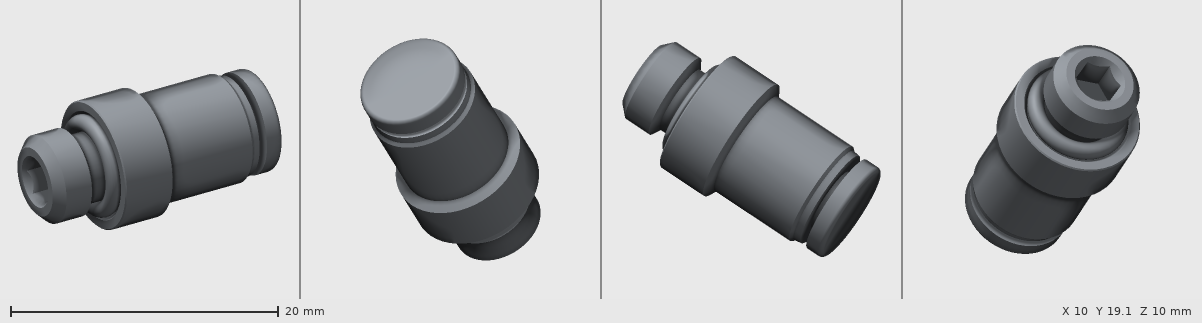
import cadquery as cq
import math

TOTAL_LENGTH = 19.1

STUD_RADIUS = 3.44
STUD_CHAMFER = 0.76
STUD_END = 2.95
NECK_RADIUS = 2.7
NECK_START = 3.4

COLLAR_RADIUS = 5.0
COLLAR_START = 4.99
COLLAR_END = 9.0
COLLAR_CHAMFER = 0.1

BARREL_RADIUS = 4.24
BARREL_START = 9.45
BARREL_END = 16.31
SHOULDER_RADIUS = 4.01
SHOULDER_START = 16.56
REAR_FACE_RADIUS = 3.92
REAR_FACE = 17.11

SOCKET_ACROSS_FLATS = 3.05
SOCKET_DEPTH = 2.86
SOCKET_MOUTH_RADIUS = 2.0
SOCKET_CONE_DEPTH = 0.57

RING_FRONT = 4.25
RING_SECTION_RADIUS = 0.65
RING_CENTRE_RADIUS = NECK_RADIUS + RING_SECTION_RADIUS
RING_CENTRE = RING_FRONT + RING_SECTION_RADIUS
RECESS_FLOOR = RING_CENTRE + RING_SECTION_RADIUS
RECESS_MOUTH_RADIUS = 4.24
RECESS_FLOOR_RADIUS = 3.82

SLEEVE_NECK_RADIUS = 2.5
FLARE_START = 17.2
FLARE_RADIUS = 2.8
FLANGE_RADIUS = 4.0
FLANGE_START = 17.7
FLANGE_FILLET = 0.35


def spin(profile):
    """Revolve a closed (radius, Y) profile fully around the Y axis."""
    return profile.revolve(360, (0, 0, 0), (0, 1, 0))


def cut_socket(body):
    """Cut a hexagonal pocket, two corners on the X axis, with a conical mouth."""
    across_corners = SOCKET_ACROSS_FLATS / math.cos(math.pi / 6)
    hexagon = cq.Workplane("XZ").polygon(6, across_corners).extrude(-SOCKET_DEPTH)
    mouth_outline = [
        (0, 0),
        (SOCKET_MOUTH_RADIUS, 0),
        (SOCKET_ACROSS_FLATS / 2, SOCKET_CONE_DEPTH),
        (0, SOCKET_CONE_DEPTH),
    ]
    mouth = spin(cq.Workplane("XY").polyline(mouth_outline).close())
    return body.cut(hexagon).cut(mouth)


def make_housing():
    """Stud, collar and barrel turned as one piece, with the key socket in the tip."""
    outline = [
        (0, 0),
        (STUD_RADIUS - STUD_CHAMFER, 0),
        (STUD_RADIUS, STUD_CHAMFER),
        (STUD_RADIUS, STUD_END),
        (NECK_RADIUS, NECK_START),
        (NECK_RADIUS, RECESS_FLOOR),
        (RECESS_FLOOR_RADIUS, RECESS_FLOOR),
        (RECESS_MOUTH_RADIUS, COLLAR_START),
        (COLLAR_RADIUS - COLLAR_CHAMFER, COLLAR_START),
        (COLLAR_RADIUS, COLLAR_START + COLLAR_CHAMFER),
        (COLLAR_RADIUS, COLLAR_END),
        (BARREL_RADIUS, BARREL_START),
        (BARREL_RADIUS, BARREL_END),
        (SHOULDER_RADIUS, SHOULDER_START),
        (REAR_FACE_RADIUS, REAR_FACE),
        (0, REAR_FACE),
    ]
    housing = spin(cq.Workplane("XY").polyline(outline).close())
    return cut_socket(housing)


def make_o_ring():
    """Round-section ring seated on the neck and on the recess floor."""
    ring = cq.Solid.makeTorus(
        RING_CENTRE_RADIUS, RING_SECTION_RADIUS, cq.Vector(0, RING_CENTRE, 0), cq.Vector(0, 1, 0)
    )
    return cq.Workplane(ring)


def make_release_sleeve():
    """Flange whose neck flares out from the rear face of the housing."""
    profile = (
        cq.Workplane("XY")
        .moveTo(0, REAR_FACE)
        .lineTo(SLEEVE_NECK_RADIUS, REAR_FACE)
        .lineTo(SLEEVE_NECK_RADIUS, FLARE_START)
        .tangentArcPoint((FLARE_RADIUS, FLANGE_START), relative=False)
        .lineTo(FLANGE_RADIUS, FLANGE_START)
        .lineTo(FLANGE_RADIUS, TOTAL_LENGTH)
        .lineTo(0, TOTAL_LENGTH)
        .close()
    )
    return spin(profile).faces(">Y").edges().fillet(FLANGE_FILLET)


housing = make_housing()
o_ring = make_o_ring()
release_sleeve = make_release_sleeve()

result = cq.Compound.makeCompound([housing.val(), o_ring.val(), release_sleeve.val()])